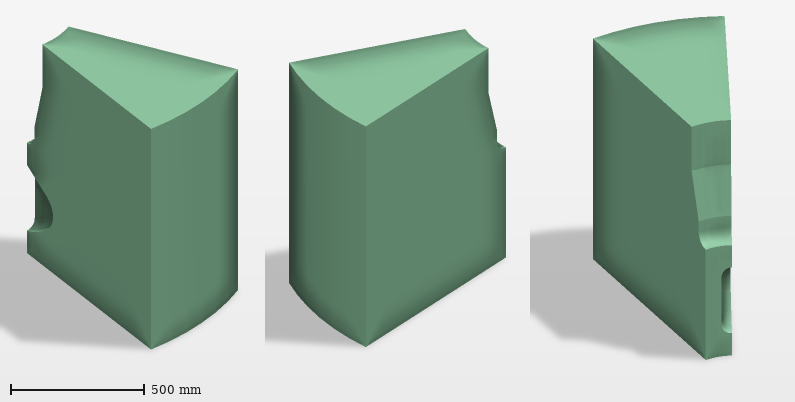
import cadquery as cq
import math

height = 1000.0
outer_radius = 1000.0
sector_angle = 30.0

lower_bore_radius = 200.0
middle_bore_radius = 250.0
upper_bore_radius = 300.0
step_height = 500.0
cove_radius = middle_bore_radius - lower_bore_radius
cone_bottom = 600.0
cone_top = 800.0

pocket_depth = 40.0
pocket_floor_fillet = pocket_depth
pocket_corner_radius = 85.0
pocket_top_at_bore = 400.0
pocket_top_slope = 30.0
pocket_arc_x = 105.0
pocket_arc_z = 410.0
pocket_arc_radius = 323.0
cutter_overrun = 20.0


def make_sector():
    """Revolve the bore-to-rim profile about Z, starting at the XZ plane."""
    cove_mid_radius = middle_bore_radius - cove_radius * (1 - math.sin(math.pi / 4))
    cove_mid_height = step_height + cove_radius * (1 - math.cos(math.pi / 4))
    profile = (
        cq.Workplane("XZ")
        .moveTo(lower_bore_radius, 0)
        .lineTo(lower_bore_radius, step_height)
        .threePointArc(
            (cove_mid_radius, cove_mid_height),
            (middle_bore_radius, step_height + cove_radius),
        )
        .lineTo(middle_bore_radius, cone_bottom)
        .lineTo(upper_bore_radius, cone_top)
        .lineTo(upper_bore_radius, height)
        .lineTo(outer_radius, height)
        .lineTo(outer_radius, 0)
        .close()
    )
    return profile.revolve(sector_angle, (0, 0, 0), (0, 1, 0))


def make_pocket():
    """Sloping top wall and curved lower wall meeting in a rounded tip."""
    slope = math.radians(pocket_top_slope)
    left_top = pocket_top_at_bore + (lower_bore_radius - pocket_arc_x) * math.tan(slope)

    drop_to_centre = (left_top - pocket_arc_z) * math.sin(slope)
    offset_to_centre = (left_top - pocket_arc_z) * math.cos(slope)
    top_length = drop_to_centre + math.sqrt(pocket_arc_radius**2 - offset_to_centre**2)
    tip_x = pocket_arc_x + top_length * math.cos(slope)
    tip_z = left_top - top_length * math.sin(slope)

    tip_angle = math.atan2(tip_z - pocket_arc_z, tip_x - pocket_arc_x)
    mid_angle = (tip_angle - math.pi / 2) / 2
    arc_mid = (
        pocket_arc_x + pocket_arc_radius * math.cos(mid_angle),
        pocket_arc_z + pocket_arc_radius * math.sin(mid_angle),
    )
    arc_bottom = (pocket_arc_x, pocket_arc_z - pocket_arc_radius)

    cutter = (
        cq.Workplane("XZ", origin=(0, -cutter_overrun, 0))
        .moveTo(pocket_arc_x, left_top)
        .lineTo(tip_x, tip_z)
        .threePointArc(arc_mid, arc_bottom)
        .close()
        .extrude(-(pocket_depth + cutter_overrun))
    )
    cutter = cutter.edges("|Y and >X").fillet(pocket_corner_radius)
    return cutter.faces(">Y").edges("not <X").fillet(pocket_floor_fillet)


result = make_sector().cut(make_pocket())